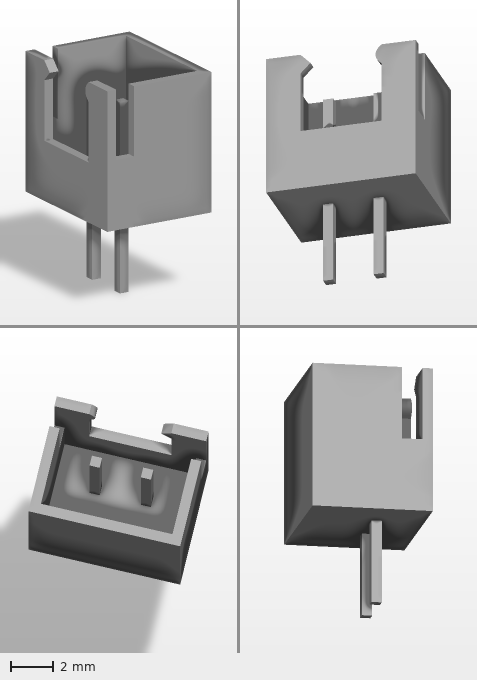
import cadquery as cq

width = 7.4
depth = 5.8
total_height = 11.0
pin_tail = 4.0
height = total_height - pin_tail
wall = 0.5
half_width = width / 2

slot_length = 1.0
slot_depth = 3.5

window_width = 4.0
window_depth = 4.0
tooth_reach = 0.5
tooth_tip_radius = 0.5

pin_size = 0.5
pin_pitch = 2.5
pin_y = 2.3
pin_top = 5.5
pin_positions = [-pin_pitch / 2, pin_pitch / 2]


def block(x_min, x_max, y_min, y_max, z_min, z_max):
    """Box given by its limits along each axis."""
    size = (x_max - x_min, y_max - y_min, z_max - z_min)
    return cq.Workplane("XY").box(*size, centered=False).translate((x_min, y_min, z_min))


def make_pin(x):
    """Square pin running from the tail end up into the cavity."""
    half = pin_size / 2
    return block(x - half, x + half, pin_y - half, pin_y + half, -pin_tail, pin_top)


def make_tooth(side):
    """Triangular tooth on the window edge; side is -1 for left, 1 for right."""
    edge_x = side * window_width / 2
    profile = [
        (edge_x, height),
        (edge_x - side * tooth_reach, height - tooth_reach),
        (edge_x, height - 2 * tooth_reach),
    ]
    return cq.Workplane("XZ").polyline(profile).close().extrude(-wall)


def make_housing():
    """Box with its cavity, side slots, front window, teeth and pin holes."""
    body = block(-half_width, half_width, 0, depth, 0, height)
    cavity = block(-half_width + wall, half_width - wall, wall, depth - wall, wall, height)
    slots = block(-half_width, half_width, wall, wall + slot_length, height - slot_depth, height)
    window = block(-window_width / 2, window_width / 2, 0, wall, height - window_depth, height)
    body = body.cut(cavity).cut(slots).cut(window)

    left_tooth = make_tooth(-1)
    right_tooth = make_tooth(1).edges("|Y and <X").fillet(tooth_tip_radius)
    body = body.union(left_tooth).union(right_tooth)

    for x in pin_positions:
        body = body.cut(make_pin(x))
    return body


housing = make_housing()
pins = [make_pin(x) for x in pin_positions]

result = cq.Compound.makeCompound([housing.solids().val(), *[pin.val() for pin in pins]])